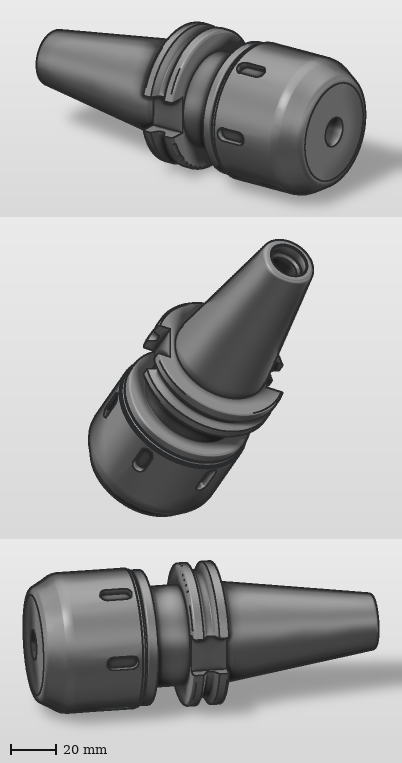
import cadquery as cq
import math

TOTAL_LENGTH = 153.3
TAPER_END = 67.9
FLANGE_START = 71.3
FLANGE_END = 87.4
COLLAR_START = 103.0
COLLAR_END = 107.6
NUT_START = 108.0
NUT_BODY_START = 110.3
SPIGOT_END = 140.2

NECK_DIA = 44.5
TAPER_RATIO = 7 / 24
TAPER_TIP_DIA = NECK_DIA - TAPER_RATIO * TAPER_END
TIP_FILLET = 2.1
FLANGE_DIA = 63.3
FLANGE_BACK_FILLET = 0.9
FLANGE_FRONT_FILLET = 1.4
COLLAR_DIA = 60.0
COLLAR_BACK_FILLET = 1.2
COLLAR_FRONT_FILLET = 0.9
SPIGOT_DIA = 54.0
NECK_FILLET = 0.5

GROOVE_START = 75.7
GROOVE_END = 82.8
GROOVE_FLOOR_DIA = 56.2
GROOVE_FILLET = 0.6
GROOVE_WALL_ANGLE = 30.0

DRIVE_SLOT_WIDTH = 16.7
FRONT_SLOT_FLOOR = 22.4
REAR_SLOT_FLOOR = 24.5

BORE_DIA = 13.3
PILOT_DIA = 17.0
PILOT_DEPTH = 5.0
THREAD_MOUTH_DIA = 16.2
PILOT_CHAMFER = 0.5

NUT_DIA = 62.0
NUT_RIM_DIA = 61.0
NUT_RIM_START = 109.0
NUT_RIM_END = 110.0
NUT_BACK_DIA = 59.5
NOSE_START = 142.7
NOSE_ANGLE = 30.0
NOSE_END_DIA = NUT_DIA - 2 * (TOTAL_LENGTH - NOSE_START) * math.tan(math.radians(NOSE_ANGLE))
NOSE_FILLET = 8.3
NUT_END_FILLET = 3.4

WRENCH_SLOT_COUNT = 6
WRENCH_SLOT_START = 112.2
WRENCH_SLOT_LENGTH = 14.3
WRENCH_SLOT_WIDTH = 6.1
WRENCH_SLOT_FLOOR = 27.5

EDGE_TOLERANCE = 0.002


def revolve_about_x(points):
    """Solid of revolution whose half outline is given as (x, radius) points."""
    return cq.Workplane("XY").polyline(points).close().revolve(360, (0, 0, 0), (1, 0, 0))


def cylinder(start, end, diameter):
    """Cylinder along the X axis between two stations."""
    return cq.Workplane("YZ", origin=(start, 0, 0)).circle(diameter / 2).extrude(end - start)


def fillet_rim(body, station, diameter, radius):
    """Round the circular edge that lies at the given station and diameter."""
    rims = body.edges("%CIRCLE").filter(
        lambda edge: abs(edge.Center().x - station) < EDGE_TOLERANCE
        and abs(edge.radius() - diameter / 2) < EDGE_TOLERANCE
    )
    return body.newObject(rims.vals()).fillet(radius)


def make_shank():
    """Taper, neck, collar and the stepped spigot that carries the nut."""
    shank = revolve_about_x([
        (0, 0),
        (0, TAPER_TIP_DIA / 2),
        (TAPER_END, NECK_DIA / 2),
        (COLLAR_START, NECK_DIA / 2),
        (COLLAR_START, COLLAR_DIA / 2),
        (COLLAR_END, COLLAR_DIA / 2),
        (COLLAR_END, SPIGOT_DIA / 2),
        (SPIGOT_END, SPIGOT_DIA / 2),
        (SPIGOT_END, NECK_DIA / 2),
        (TOTAL_LENGTH, NECK_DIA / 2),
        (TOTAL_LENGTH, 0),
    ])
    shank = fillet_rim(shank, 0, TAPER_TIP_DIA, TIP_FILLET)
    shank = fillet_rim(shank, COLLAR_START, NECK_DIA, NECK_FILLET)
    shank = fillet_rim(shank, COLLAR_END, COLLAR_DIA, COLLAR_FRONT_FILLET)
    return fillet_rim(shank, COLLAR_START, COLLAR_DIA, COLLAR_BACK_FILLET)


def drive_slot(floor_distance, side):
    """Cutter for a slot through the flange; side is -1 for -Y and 1 for +Y."""
    depth = FLANGE_DIA / 2 - floor_distance
    middle = (FLANGE_START + FLANGE_END) / 2
    return cq.Workplane("XY").box(FLANGE_END - FLANGE_START, depth, DRIVE_SLOT_WIDTH).translate(
        (middle, side * (floor_distance + depth / 2), 0)
    )


def make_flange():
    """Flange with its V groove and two drive slots."""
    wall_run = (FLANGE_DIA - GROOVE_FLOOR_DIA) / 2 * math.tan(math.radians(GROOVE_WALL_ANGLE))
    flange = revolve_about_x([
        (FLANGE_START, 0),
        (FLANGE_START, FLANGE_DIA / 2),
        (GROOVE_START, FLANGE_DIA / 2),
        (GROOVE_START + wall_run, GROOVE_FLOOR_DIA / 2),
        (GROOVE_END - wall_run, GROOVE_FLOOR_DIA / 2),
        (GROOVE_END, FLANGE_DIA / 2),
        (FLANGE_END, FLANGE_DIA / 2),
        (FLANGE_END, 0),
    ])
    flange = fillet_rim(flange, FLANGE_START, FLANGE_DIA, FLANGE_BACK_FILLET)
    for floor_corner in (GROOVE_START + wall_run, GROOVE_END - wall_run):
        flange = fillet_rim(flange, floor_corner, GROOVE_FLOOR_DIA, GROOVE_FILLET)
    flange = fillet_rim(flange, FLANGE_END, FLANGE_DIA, FLANGE_FRONT_FILLET)
    return flange.cut(drive_slot(FRONT_SLOT_FLOOR, -1)).cut(drive_slot(REAR_SLOT_FLOOR, 1))


def make_bore():
    """Cutter for the through bore and the chamfered pilot bore at the small end."""
    cone_length = (THREAD_MOUTH_DIA - BORE_DIA) / 2
    pilot = revolve_about_x([
        (0, 0),
        (0, PILOT_DIA / 2 + PILOT_CHAMFER),
        (PILOT_CHAMFER, PILOT_DIA / 2),
        (PILOT_DEPTH, PILOT_DIA / 2),
        (PILOT_DEPTH, THREAD_MOUTH_DIA / 2),
        (PILOT_DEPTH + cone_length, BORE_DIA / 2),
        (PILOT_DEPTH + cone_length, 0),
    ])
    return cylinder(0, TOTAL_LENGTH, BORE_DIA).union(pilot)


def make_holder():
    """Tapered tool holder in one piece: shank, flange and bore."""
    return make_shank().union(make_flange()).cut(make_bore())


def wrench_slot(angle):
    """Cutter for one flat-bottomed wrench slot, turned about X from the -Y side."""
    middle = WRENCH_SLOT_START + WRENCH_SLOT_LENGTH / 2
    slot = (
        cq.Workplane("XZ", origin=(middle, -WRENCH_SLOT_FLOOR, 0))
        .slot2D(WRENCH_SLOT_LENGTH, WRENCH_SLOT_WIDTH)
        .extrude(NUT_DIA / 2)
    )
    return slot.rotate((0, 0, 0), (1, 0, 0), angle)


def make_nut():
    """Clamping nut, bored to fit the stepped spigot."""
    nut = revolve_about_x([
        (NUT_START, SPIGOT_DIA / 2),
        (NUT_START, NUT_BACK_DIA / 2),
        (NUT_RIM_START, NUT_RIM_DIA / 2),
        (NUT_RIM_END, NUT_RIM_DIA / 2),
        (NUT_BODY_START, NUT_DIA / 2),
        (NOSE_START, NUT_DIA / 2),
        (TOTAL_LENGTH, NOSE_END_DIA / 2),
        (TOTAL_LENGTH, NECK_DIA / 2),
        (SPIGOT_END, NECK_DIA / 2),
        (SPIGOT_END, SPIGOT_DIA / 2),
    ])
    nut = fillet_rim(nut, NOSE_START, NUT_DIA, NOSE_FILLET)
    nut = fillet_rim(nut, TOTAL_LENGTH, NOSE_END_DIA, NUT_END_FILLET)
    for index in range(WRENCH_SLOT_COUNT):
        nut = nut.cut(wrench_slot(index * 360 / WRENCH_SLOT_COUNT))
    return nut


holder = make_holder()
nut = make_nut()
result = cq.Compound.makeCompound([holder.val(), nut.val()])